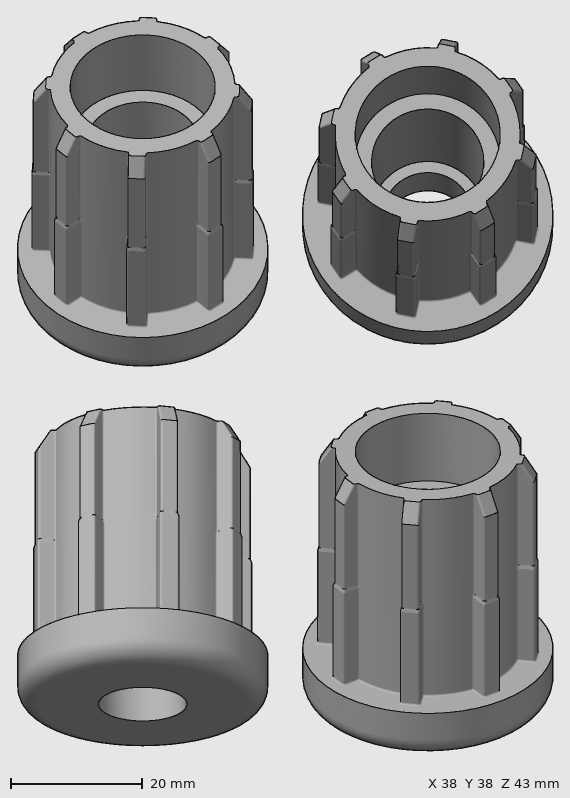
import cadquery as cq
import math

height = 43.0
flange_radius = 19.0
flange_height = 8.0
flange_round = 3.0
tube_radius = 14.0

bore_radius = 11.0
bore_depth = 12.05
middle_radius = 8.5
hole_radius = 6.7
hole_top = flange_height

rib_count = 8
lower_rib_width = 3.0
lower_rib_reach = 16.75
rib_step = 0.17
upper_rib_width = lower_rib_width - 2 * rib_step
upper_rib_reach = lower_rib_reach - rib_step
step_bottom = 24.4
step_height = 0.6
step_top = step_bottom + step_height
taper_height = 3.0
taper_reach = 14.7
rib_edge_round = 0.35
root_round = 0.3

rib_inner = (bore_radius + tube_radius) / 2

outer_side_edges = "not(|X or |Y or <X)"

tolerance = 0.005


def bored_body():
    """Revolved tube and flange with the rounded bottom rim and stepped bore."""
    bore_floor = height - bore_depth
    return (
        cq.Workplane("XZ")
        .moveTo(hole_radius, 0)
        .lineTo(flange_radius - flange_round, 0)
        .radiusArc((flange_radius, flange_round), -flange_round)
        .lineTo(flange_radius, flange_height)
        .lineTo(tube_radius, flange_height)
        .lineTo(tube_radius, height)
        .lineTo(bore_radius, height)
        .lineTo(bore_radius, bore_floor)
        .lineTo(middle_radius, bore_floor)
        .lineTo(middle_radius, hole_top)
        .lineTo(hole_radius, hole_top)
        .close()
        .revolve(360, (0, 0, 0), (0, 1, 0))
    )


def upper_rib():
    """Full-height rib on +X with a tapered top end and rounded outer side edges."""
    return (
        cq.Workplane("XZ")
        .moveTo(rib_inner, flange_height)
        .lineTo(upper_rib_reach, flange_height)
        .lineTo(upper_rib_reach, height - taper_height)
        .lineTo(taper_reach, height)
        .lineTo(rib_inner, height)
        .close()
        .extrude(upper_rib_width / 2, both=True)
        .edges(outer_side_edges)
        .fillet(rib_edge_round)
    )


def lower_rib():
    """Wider rib on +X whose top slopes in to meet the upper rib."""
    block = (
        cq.Workplane("XY", origin=(rib_inner, 0, flange_height))
        .box(
            lower_rib_reach - rib_inner,
            lower_rib_width,
            step_top - flange_height,
            centered=(False, True, False),
        )
    )
    sloped = block.faces(">Z").edges("not(<X)").chamfer(step_height, rib_step)
    return sloped.edges(outer_side_edges).fillet(rib_edge_round)


def distance_from_axis(point):
    return math.hypot(point.x, point.y)


def is_root_edge(edge):
    """True for the hollow corners around each rib, the tube and the flange top."""
    start_radius = distance_from_axis(edge.startPoint())
    end_radius = distance_from_axis(edge.endPoint())
    at_flange_height = abs(edge.Center().z - flange_height) < tolerance
    outside_tube = start_radius > tube_radius - tolerance
    inside_rim = start_radius < flange_radius - tolerance
    foot_edge = at_flange_height and outside_tube and inside_rim

    touches_tube = max(abs(start_radius - tube_radius), abs(end_radius - tube_radius)) < tolerance
    side_edge = touches_tube and edge.geomType() != "CIRCLE"
    return foot_edge or side_edge


rib = upper_rib().union(lower_rib())
ribbed_body = bored_body()
for index in range(rib_count):
    turned_rib = rib.rotate((0, 0, 0), (0, 0, 1), index * 360 / rib_count)
    ribbed_body = ribbed_body.union(turned_rib)

root_edges = ribbed_body.edges().filter(is_root_edge)
result = cq.Workplane(root_edges.fillet(root_round).solids().val())